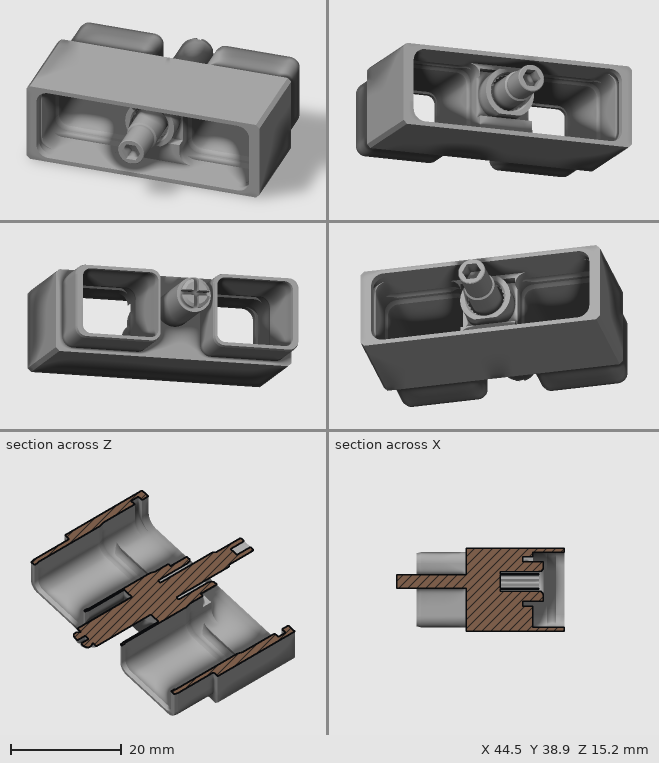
import cadquery as cq
import math


BODY_WIDTH = 44.5
BODY_HEIGHT = 15.17
BODY_DEPTH = 17.85
BODY_CHAMFER = 0.65

MOUTH_HALF_WIDTH = 20.3
MOUTH_HALF_HEIGHT = 6.75
MOUTH_RADIUS = 2.22
DIVIDER_FRONT = 5.7

UNDERCUT_START = 1.55
UNDERCUT_END = 3.15
UNDERCUT_DEPTH = 1.05

DIVIDER_HALF_WIDTH = 5.07
POCKET_WIDTH = MOUTH_HALF_WIDTH - DIVIDER_HALF_WIDTH
POCKET_HEIGHT = 2 * MOUTH_HALF_HEIGHT
POCKET_CENTER = (MOUTH_HALF_WIDTH + DIVIDER_HALF_WIDTH) / 2
RAMP_START = 10.5
RAMP_END = 11.65
RAMP_INSET = 0.3
LEDGE_THICKNESS = 0.9
OPENING_WIDTH = 14.3
OPENING_HEIGHT = 12.0
OPENING_RADIUS = 1.55

WEDGE_START = 7.95
WEDGE_END = 9.75
WEDGE_DEPTH = 0.62
WEDGE_WIDTH = 14.25

BLOCK_WIDTH = 16.05
BLOCK_HEIGHT = 13.57
BLOCK_CENTER = 13.0
BLOCK_RADIUS = 1.95
BLOCK_LENGTH = 8.9
BLOCK_BEVEL_LENGTH = 0.75
BLOCK_BEVEL_INSET = 0.2
BLOCK_END = BODY_DEPTH + BLOCK_LENGTH

SCREW_Z = 1.5
RECESS_HEIGHT = 8.8
RECESS_BACK = 7.55
BOSS_RADIUS = 4.67
BOSS_FLAT_HEIGHT = 8.4
BOSS_FRONT = 3.83
BORE_MOUTH_RADIUS = 3.75
BORE_CHAMFER_DEPTH = 0.4
SPLINE_START = 4.65
SPLINE_OUTER_RADIUS = 3.43
SPLINE_INNER_RADIUS = 3.15
SPLINE_COUNT = 24
BORE_BOTTOM = 11.55

SHANK_RADIUS = 2.5
SHANK_FRONT = -6.68
SHANK_TIP_CHAMFER = 0.15
COLLAR_RADIUS = 2.8
COLLAR_FRONT = -0.95
COLLAR_CHAMFER = 0.3
HEX_ACROSS_FLATS = 3.03
HEX_ACROSS_CORNERS = HEX_ACROSS_FLATS / math.cos(math.pi / 6)
HEX_DEPTH = 3.1
HEX_CONE_DEPTH = 0.9

SLEEVE_RADIUS = 3.2
SLEEVE_END = 30.45
CATCH_END = 32.2
CATCH_RADIUS = 2.65
CATCH_NECK_RADIUS = 2.35
CATCH_BEVEL_LENGTH = 0.62
CATCH_TIP_RADIUS = 2.1
CATCH_TIP_LENGTH = 0.45
CATCH_SLOT = 0.95


def section(y, x=0.0, z=0.0):
    """Sketch plane facing +Y at depth y, with local X along +X and local Y along -Z."""
    return cq.Workplane(cq.Plane(origin=(x, y, z), xDir=(1, 0, 0), normal=(0, 1, 0)))


def prism(start, end, width, height, x=0.0, z=0.0):
    return section(start, x, z).rect(width, height).extrude(end - start)


def rounded_prism(start, end, width, height, radius, x=0.0):
    return prism(start, end, width, height, x).edges("|Y").fillet(radius)


def rounded_taper(start, end, width, height, radius, inset, x):
    """Rounded prism whose walls close in evenly by inset from start to end."""
    front = cq.Sketch().rect(width, height).vertices().fillet(radius)
    back = cq.Sketch().rect(width - 2 * inset, height - 2 * inset).vertices().fillet(radius - inset)
    return section(start, x).placeSketch(front, back.moved(cq.Location((0, 0, end - start)))).loft()


def revolve_on_screw_axis(profile):
    """Turn a closed (radius, y) profile about the screw axis."""
    outline = cq.Workplane("XY", origin=(0, 0, SCREW_Z)).polyline(profile).close()
    return outline.revolve(360, (0, 0, 0), (0, 1, 0))


def make_body():
    body = prism(0, BODY_DEPTH, BODY_WIDTH, BODY_HEIGHT)
    return body.edges("|Y").chamfer(BODY_CHAMFER)


def make_block(side):
    block = rounded_prism(
        BODY_DEPTH, BLOCK_END, BLOCK_WIDTH, BLOCK_HEIGHT, BLOCK_RADIUS, side * BLOCK_CENTER
    )
    bevel_start = BLOCK_END - BLOCK_BEVEL_LENGTH
    bevel = rounded_taper(
        bevel_start, BLOCK_END, BLOCK_WIDTH, BLOCK_HEIGHT, BLOCK_RADIUS,
        BLOCK_BEVEL_INSET, side * BLOCK_CENTER,
    )
    straight = block.intersect(prism(BODY_DEPTH, bevel_start, 2 * BODY_WIDTH, BODY_HEIGHT))
    return straight.union(bevel)


def make_mouth():
    mouth = rounded_prism(
        0, DIVIDER_FRONT, 2 * MOUTH_HALF_WIDTH, 2 * MOUTH_HALF_HEIGHT, MOUTH_RADIUS
    )
    undercut = rounded_prism(
        UNDERCUT_START, UNDERCUT_END,
        2 * (MOUTH_HALF_WIDTH + UNDERCUT_DEPTH), 2 * MOUTH_HALF_HEIGHT, MOUTH_RADIUS + UNDERCUT_DEPTH,
    )
    return mouth.union(undercut)


def make_pocket(side):
    x = side * POCKET_CENTER
    front = rounded_prism(DIVIDER_FRONT, RAMP_START, POCKET_WIDTH, POCKET_HEIGHT, MOUTH_RADIUS, x)
    wedge = rounded_taper(
        WEDGE_START, WEDGE_END, WEDGE_WIDTH, POCKET_HEIGHT + 2 * WEDGE_DEPTH,
        MOUTH_RADIUS, WEDGE_DEPTH, x,
    )
    ramp = rounded_taper(
        RAMP_START, RAMP_END, POCKET_WIDTH, POCKET_HEIGHT, MOUTH_RADIUS, RAMP_INSET, x
    )
    rear = rounded_prism(
        RAMP_END, BLOCK_END - LEDGE_THICKNESS,
        POCKET_WIDTH - 2 * RAMP_INSET, POCKET_HEIGHT - 2 * RAMP_INSET, MOUTH_RADIUS - RAMP_INSET, x,
    )
    opening = rounded_prism(
        RAMP_END, BLOCK_END, OPENING_WIDTH, OPENING_HEIGHT, OPENING_RADIUS, x
    )
    return front.union(wedge).union(ramp).union(rear).union(opening)


def make_recess():
    return prism(DIVIDER_FRONT, RECESS_BACK, 2 * DIVIDER_HALF_WIDTH, RECESS_HEIGHT, z=SCREW_Z)


def make_boss():
    boss = section(BOSS_FRONT, z=SCREW_Z).circle(BOSS_RADIUS).extrude(RECESS_BACK - BOSS_FRONT)
    return boss.intersect(prism(BOSS_FRONT, RECESS_BACK, 2 * BOSS_RADIUS, BOSS_FLAT_HEIGHT, z=SCREW_Z))


def make_bore():
    """Bore with a tapered mouth, a short plain stretch and splines;
    the splines are V grooves, one pointing straight down.
    """
    chamfer_end = BOSS_FRONT + BORE_CHAMFER_DEPTH
    mouth = revolve_on_screw_axis([
        (0, BOSS_FRONT),
        (BORE_MOUTH_RADIUS, BOSS_FRONT),
        (SPLINE_OUTER_RADIUS, chamfer_end),
        (SPLINE_OUTER_RADIUS, SPLINE_START),
        (0, SPLINE_START),
    ])
    spline_points = []
    for step in range(2 * SPLINE_COUNT):
        radius = SPLINE_INNER_RADIUS if step % 2 else SPLINE_OUTER_RADIUS
        angle = math.pi * step / SPLINE_COUNT
        spline_points.append((radius * math.sin(angle), radius * math.cos(angle)))
    splines = section(SPLINE_START, z=SCREW_Z).polyline(spline_points).close()
    return mouth.union(splines.extrude(BORE_BOTTOM - SPLINE_START))


def make_screw():
    screw = revolve_on_screw_axis([
        (0, SHANK_FRONT),
        (SHANK_RADIUS - SHANK_TIP_CHAMFER, SHANK_FRONT),
        (SHANK_RADIUS, SHANK_FRONT + SHANK_TIP_CHAMFER),
        (SHANK_RADIUS, COLLAR_FRONT),
        (COLLAR_RADIUS, COLLAR_FRONT + COLLAR_CHAMFER),
        (COLLAR_RADIUS, BORE_BOTTOM),
        (SLEEVE_RADIUS, BORE_BOTTOM),
        (SLEEVE_RADIUS, SLEEVE_END),
        (CATCH_NECK_RADIUS, SLEEVE_END),
        (CATCH_RADIUS, SLEEVE_END + CATCH_BEVEL_LENGTH),
        (CATCH_RADIUS, CATCH_END - CATCH_TIP_LENGTH),
        (CATCH_TIP_RADIUS, CATCH_END),
        (0, CATCH_END),
    ])
    hex_bottom = SHANK_FRONT + HEX_DEPTH
    socket = section(SHANK_FRONT, z=SCREW_Z).polygon(6, HEX_ACROSS_CORNERS).extrude(HEX_DEPTH)
    socket_cone = revolve_on_screw_axis([
        (0, hex_bottom),
        (HEX_ACROSS_FLATS / 2, hex_bottom),
        (0, hex_bottom + HEX_CONE_DEPTH),
    ])
    screw = screw.cut(socket).cut(socket_cone)
    for width, height in ((CATCH_SLOT, 2 * CATCH_RADIUS), (2 * CATCH_RADIUS, CATCH_SLOT)):
        screw = screw.cut(prism(SLEEVE_END, CATCH_END, width, height, z=SCREW_Z))
    return screw


hood = make_body()
for side in (-1, 1):
    hood = hood.union(make_block(side))
hood = hood.cut(make_mouth())
for side in (-1, 1):
    hood = hood.cut(make_pocket(side))
hood = hood.cut(make_recess()).union(make_boss()).cut(make_bore())

result = hood.union(make_screw())